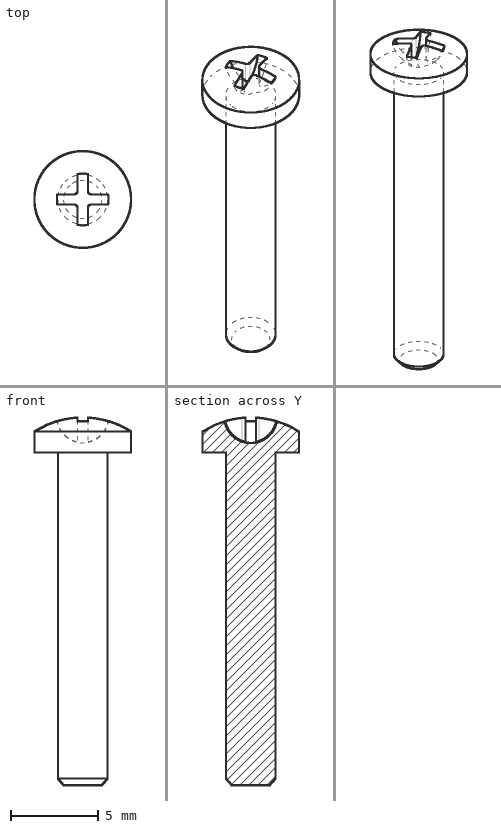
import cadquery as cq
import math

total_length = 21.05
head_diameter = 5.55
head_rim_height = 1.2
dome_height = 0.82
shank_diameter = 2.86
tip_chamfer_height = 0.38
tip_chamfer_width = 0.34

slot_length = 2.97
slot_width = 0.6
slot_corner_radius = 0.2
recess_depth = 1.47

head_radius = head_diameter / 2
shank_radius = shank_diameter / 2
dome_radius = (head_radius**2 + dome_height**2) / (2 * dome_height)

corner_distance = math.sqrt(2) * (slot_width / 2 + slot_corner_radius) - slot_corner_radius
apex_drop = dome_radius - math.sqrt(dome_radius**2 - corner_distance**2)
apex_height = total_length + apex_drop
rim_top = apex_height - dome_height
head_base = rim_top - head_rim_height


def dome_z(radius):
    """Height of the domed surface at a distance from the axis."""
    return apex_height - dome_radius + math.sqrt(dome_radius**2 - radius**2)


def make_body():
    """Chamfered shank and domed head, revolved from one half-profile."""
    mid_radius = head_radius / 2
    return (
        cq.Workplane("XZ")
        .lineTo(shank_radius - tip_chamfer_width, 0)
        .lineTo(shank_radius, tip_chamfer_height)
        .lineTo(shank_radius, head_base)
        .lineTo(head_radius, head_base)
        .lineTo(head_radius, rim_top)
        .threePointArc((mid_radius, dome_z(mid_radius)), (0, apex_height))
        .close()
        .revolve(360, (0, 0), (0, 1))
    )


def make_recess():
    """Cross-shaped cutter whose floor is a spherical bowl meeting the dome at the arm ends."""
    floor_z = apex_height - recess_depth
    bowl_rim_radius = slot_length / 2
    bowl_rise = dome_z(bowl_rim_radius) - floor_z
    bowl_radius = (bowl_rim_radius**2 + bowl_rise**2) / (2 * bowl_rise)

    cutter_height = 2 * recess_depth
    arm_length = 2 * slot_length
    base = cq.Workplane("XY").workplane(offset=floor_z)
    cross = (
        base.rect(arm_length, slot_width)
        .extrude(cutter_height)
        .union(base.rect(slot_width, arm_length).extrude(cutter_height))
    )
    inner_corners = cq.selectors.BoxSelector(
        (-slot_width, -slot_width, floor_z),
        (slot_width, slot_width, floor_z + cutter_height),
    )
    cross = cross.edges("|Z").edges(inner_corners).fillet(slot_corner_radius)
    bowl = cq.Workplane("XY").sphere(bowl_radius).translate((0, 0, floor_z + bowl_radius))
    return cross.intersect(bowl)


result = make_body().cut(make_recess())